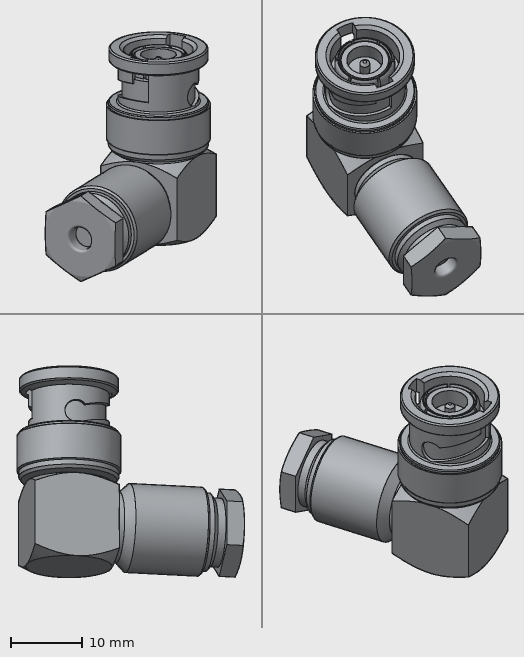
import cadquery as cq
import math


block_side = 12.05
block_chamfer_angle = 30.0

neck_radius = 4.4
neck_foot = 0.13

nut_bottom = 6.5
grip_radius = 7.3
grip_bottom = 7.82
grip_top = 12.83
grip_edge = 0.15
collar_radius = 7.05
collar_edge_radius = 6.73
collar_bottom = 6.95
collar_top = 13.33
collar_edge = 0.15
barrel_radius = 5.65
barrel_foot = 0.22
core_radius = 5.13
flange_radius = 6.95
flange_bottom = 19.28
flange_taper_bottom = 18.9
flange_edge = 0.22
plug_top = 21.28
nut_bore_radius = 4.88
mouth_radius = 5.45
mouth_depth = 0.38

notch_width = 2.5
notch_reach = 6.05
latch_radius = 1.63
latch_height = 15.12
ramp_angle = 14.5
ramp_width = 2.35

cavity_floor = 17.78
ring_outer = 4.2
ring_inner = 3.5
ring_top = 20.38
ring_crest_outer = 3.82
ring_crest_inner = 3.7
ring_bulge_height = 0.75
ring_inner_chamfer = 0.3
ring_slot_width = 0.38
ring_slot_count = 6
ring_slot_start_angle = 30.0
insulator_radius = 3.32
insulator_bore = 2.5
insulator_top = 20.2
pin_radius = 0.7
pin_tip_radius = 0.25
pin_shoulder = 19.4
pin_top = 19.78

sleeve_neck_radius = 4.98
sleeve_neck_foot = 0.15
sleeve_taper_start = 6.98
sleeve_start = 8.33
sleeve_end = 19.0
sleeve_radius = 6.25
sleeve_chamfer = 0.3

screw_rim_radius = 5.5
screw_rim_end = 19.78
screw_neck_start = 20.35
screw_neck_radius = 4.85
hex_start = 21.47
hex_end = 24.0
hex_flats = 11.0
hex_chamfer = 0.25
cable_bore_radius = 1.7
cable_bore_depth = 2.05
cable_bore_rounding = 0.38


def revolve_about_z(points):
    """Turn a closed (radius, height) outline about the Z axis."""
    return cq.Workplane("XZ").polyline(points).close().revolve(360, (0, 0), (0, 1))


def along_cable(solid):
    """Turn a solid built along +Z so that it runs along the cable, toward -Y."""
    return solid.rotate((0, 0, 0), (1, 0, 0), 90)


def cylinder(radius, bottom, top):
    return cq.Workplane("XY").workplane(offset=bottom).circle(radius).extrude(top - bottom)


def elbow_block():
    """Cube whose top and bottom corners are turned off by a cone, like a nut."""
    half = block_side / 2
    cone_radius = block_side
    drop = (cone_radius - half) * math.tan(math.radians(block_chamfer_angle))
    cone = revolve_about_z([
        (0, -half),
        (half, -half),
        (cone_radius, drop - half),
        (cone_radius, half - drop),
        (half, half),
        (0, half),
    ])
    return cq.Workplane("XY").box(block_side, block_side, block_side).intersect(cone)


def neck():
    """Round neck with a narrower foot where it leaves the block."""
    bottom = block_side / 2
    return revolve_about_z([
        (0, 0),
        (neck_radius - neck_foot, 0),
        (neck_radius - neck_foot, bottom),
        (neck_radius, bottom + neck_foot),
        (neck_radius, nut_bottom),
        (0, nut_bottom),
    ])


def bayonet_slot():
    """Slot in the -Y side of the nut: entry notch, ramp, and latch hole at -X."""
    reach = 2 * barrel_radius
    half_notch = notch_width / 2
    notch_floor = latch_height + latch_radius
    notch_block = (
        cq.Workplane("XY").workplane(offset=notch_floor)
        .center(0, -reach / 2).rect(notch_width, reach).extrude(plug_top - notch_floor)
    )
    notch = cylinder(notch_reach, notch_floor, plug_top).intersect(notch_block)

    ramp_upper = ramp_width - latch_radius
    ramp_start = math.sqrt(latch_radius ** 2 - ramp_upper ** 2)
    latch_and_ramp = (
        cq.Workplane("YZ").workplane(offset=-reach)
        .moveTo(0, -latch_radius)
        .lineTo(-reach, -latch_radius)
        .lineTo(-reach, ramp_upper)
        .lineTo(-ramp_start, ramp_upper)
        .threePointArc((latch_radius, 0), (0, -latch_radius))
        .close()
        .extrude(reach + half_notch)
        .rotate((0, 0, 0), (1, 0, 0), -ramp_angle)
        .translate((0, 0, latch_height))
    )
    return notch.union(latch_and_ramp)


def coupling_nut():
    """Turned nut whose slots are cut down to the core that fills it below the cavity floor."""
    nut = revolve_about_z([
        (0, nut_bottom),
        (collar_edge_radius, nut_bottom),
        (collar_radius, collar_bottom),
        (collar_radius, grip_bottom - grip_edge),
        (grip_radius, grip_bottom),
        (grip_radius, grip_top),
        (collar_radius, grip_top),
        (collar_radius, collar_top - collar_edge),
        (collar_radius - collar_edge, collar_top),
        (barrel_radius + barrel_foot, collar_top),
        (barrel_radius, collar_top + barrel_foot),
        (barrel_radius, flange_taper_bottom),
        (flange_radius - flange_edge, flange_bottom),
        (flange_radius, flange_bottom + flange_edge),
        (flange_radius, plug_top - flange_edge),
        (flange_radius - flange_edge, plug_top),
        (mouth_radius, plug_top),
        (nut_bore_radius, plug_top - mouth_depth),
        (nut_bore_radius, cavity_floor),
        (0, cavity_floor),
    ])
    slot = bayonet_slot()
    core = cylinder(core_radius, nut_bottom, cavity_floor)
    return nut.cut(slot).cut(slot.rotate((0, 0, 0), (0, 0, 1), 180)).union(core)


def contact_ring():
    """Slotted ring with a rounded rim, standing on the cavity floor."""
    ring = (
        cq.Workplane("XZ")
        .moveTo(ring_inner, cavity_floor)
        .lineTo(ring_outer, cavity_floor)
        .lineTo(ring_outer, ring_top - ring_bulge_height)
        .tangentArcPoint((ring_crest_outer, ring_top), relative=False)
        .lineTo(ring_crest_inner, ring_top)
        .lineTo(ring_inner, ring_top - ring_inner_chamfer)
        .close()
        .revolve(360, (0, 0), (0, 1))
    )
    rim_height = ring_top - cavity_floor
    for index in range(ring_slot_count):
        slot = (
            cq.Workplane("XY").box(ring_outer, ring_slot_width, rim_height, centered=(False, True, False))
            .translate((ring_inner / 2, 0, cavity_floor))
            .rotate((0, 0, 0), (0, 0, 1), ring_slot_start_angle + index * 360 / ring_slot_count)
        )
        ring = ring.cut(slot)
    return ring


def insulator_and_pin():
    """Insulator rooted in the core, with a pointed pin standing in its bore."""
    return revolve_about_z([
        (0, collar_top),
        (insulator_radius, collar_top),
        (insulator_radius, insulator_top),
        (insulator_bore, insulator_top),
        (insulator_bore, cavity_floor),
        (pin_radius, cavity_floor),
        (pin_radius, pin_shoulder),
        (pin_tip_radius, pin_top),
        (0, pin_top),
    ])


def cable_sleeve():
    """Sleeve over the cable, with the turned shank of the clamp screw behind it."""
    return along_cable(revolve_about_z([
        (0, 0),
        (sleeve_neck_radius - sleeve_neck_foot, 0),
        (sleeve_neck_radius - sleeve_neck_foot, block_side / 2),
        (sleeve_neck_radius, block_side / 2 + sleeve_neck_foot),
        (sleeve_neck_radius, sleeve_taper_start),
        (sleeve_radius, sleeve_start),
        (sleeve_radius, sleeve_end - sleeve_chamfer),
        (sleeve_radius - sleeve_chamfer, sleeve_end),
        (screw_rim_radius, sleeve_end),
        (screw_rim_radius, screw_rim_end),
        (screw_neck_radius, screw_neck_start),
        (screw_neck_radius, hex_start),
        (0, hex_start),
    ]))


def hex_head():
    """Hexagon with corners at +Z and -Z, turned off by a cone, with a blind cable bore."""
    corner_radius = hex_flats / math.sqrt(3)
    head = (
        cq.Workplane("XY").workplane(offset=hex_start)
        .polygon(6, 2 * corner_radius).extrude(hex_end - hex_start)
        .rotate((0, 0, 0), (0, 0, 1), 90)
    )
    cone = revolve_about_z([
        (0, hex_start),
        (corner_radius, hex_start),
        (corner_radius, hex_end - hex_chamfer),
        (hex_flats / 2, hex_end),
        (0, hex_end),
    ])
    bore = cylinder(cable_bore_radius, hex_end - cable_bore_depth, hex_end)
    head = head.intersect(cone).cut(bore)
    bore_mouth = cq.selectors.RadiusNthSelector(0)
    return along_cable(head.faces(">Z").edges(bore_mouth).fillet(cable_bore_rounding))


result = (
    elbow_block()
    .union(neck())
    .union(coupling_nut())
    .union(contact_ring())
    .union(insulator_and_pin())
    .union(cable_sleeve())
    .union(hex_head())
)